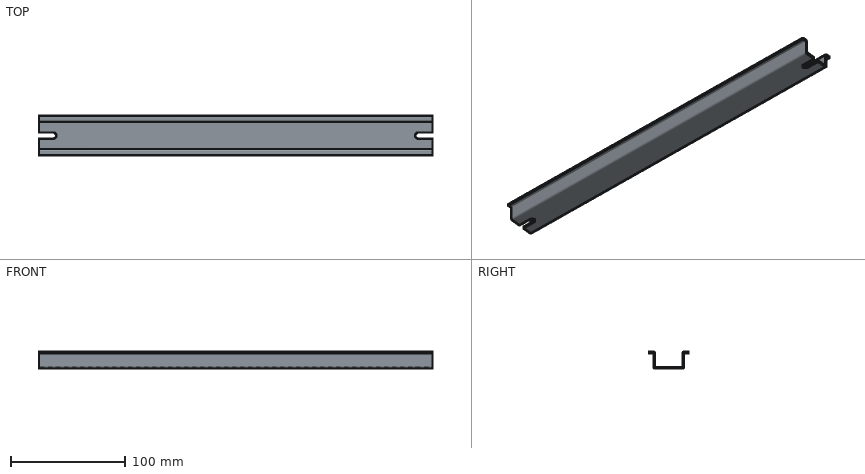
import cadquery as cq

length = 345.0
width = 35.0
height = 15.0

thickness = 1.5
inner_bend_radius = 0.4
outer_bend_radius = inner_bend_radius + thickness
channel_width = 27.0

slot_width = 5.2
slot_depth = 15.2


def hat_profile():
    """Extrude the sharp-cornered hat section along X, centred on the origin."""
    top = height / 2
    bottom = -top
    flange_tip = width / 2
    wall_outside = channel_width / 2
    wall_inside = wall_outside - thickness
    right_half = [
        (wall_outside, bottom),
        (wall_outside, top - thickness),
        (flange_tip, top - thickness),
        (flange_tip, top),
        (wall_inside, top),
        (wall_inside, bottom + thickness),
    ]
    left_half = [(-y, z) for y, z in reversed(right_half)]
    return cq.Workplane("YZ").polyline(right_half + left_half).close().extrude(length / 2, both=True)


def round_bends(rail):
    """Round both faces of the sheet at its four bends."""
    wall_outside = channel_width / 2
    wall_inside = wall_outside - thickness
    top = height / 2
    inner_corners = [(wall_outside, top - thickness), (wall_inside, -top + thickness)]
    outer_corners = [(wall_inside, top), (wall_outside, -top)]
    for corners, radius in ((inner_corners, inner_bend_radius), (outer_corners, outer_bend_radius)):
        for y, z in corners:
            for side in (-1, 1):
                edge = cq.selectors.NearestToPointSelector((0, side * y, z))
                rail = rail.edges("|X").edges(edge).fillet(radius)
    return rail


def end_slot(end):
    """Round-nosed slot cutter running in from the rail end on the given side of X."""
    slot_length = 2 * slot_depth
    return (
        cq.Workplane("XY")
        .center(end * length / 2, 0)
        .slot2D(slot_length, slot_width)
        .extrude(-height)
    )


result = round_bends(hat_profile())
for end in (-1, 1):
    result = result.cut(end_slot(end))